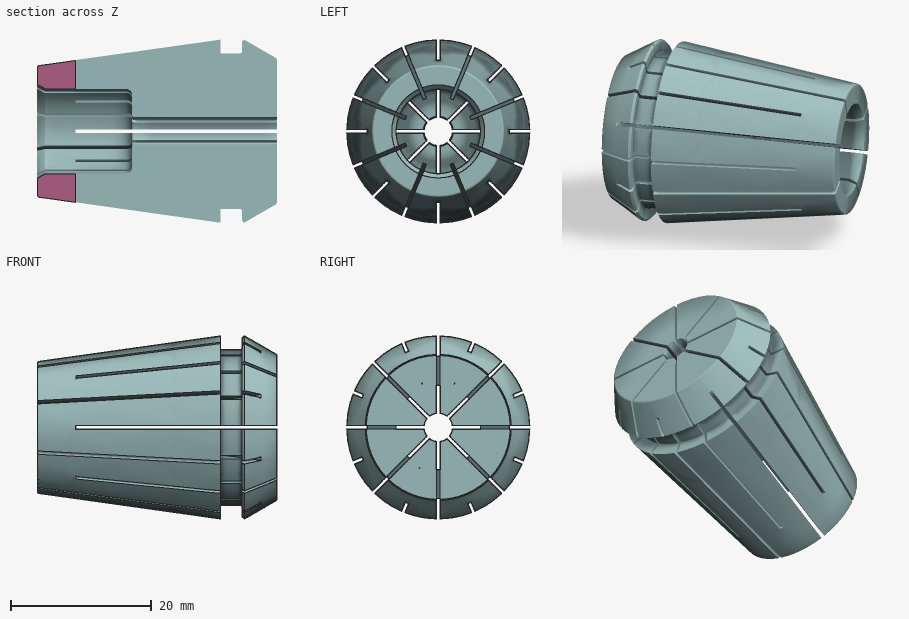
import math

import cadquery as cq

length = 34.0
max_radius = 13.0

body_length = 25.98
body_angle = 8.0
small_end_fillet = 0.27
small_end_radius = max_radius - body_length * math.tan(math.radians(body_angle))

groove_radius = 11.05
groove_end = 29.05
groove_body_fillet = 0.15
groove_nose_fillet = 0.27

nose_edge_width = 0.35
nose_edge_drop = 0.27
nose_edge_x = groove_end + nose_edge_width
nose_angle = 30.0
nose_slope = math.tan(math.radians(nose_angle))
front_edge_chamfer = 0.1
nose_end_radius = max_radius - (length - nose_edge_x) * nose_slope

mouth_radius = 6.6
mouth_depth = 1.12
bore_radius = 6.0
bore_bottom_fillet = 0.85
grip_radius = 2.0
grip_entry_chamfer = 0.15

slot_count = 8
slot_pitch = 360.0 / slot_count
slot_width = 0.5
slot_reach = 2 * max_radius
front_slot_start = 5.45
rear_slot_end = 31.75
rear_slot_floor_angle = 20.0
rear_slot_floor_inner_radius = 4.95
rear_slot_end_radius = max_radius - (rear_slot_end - nose_edge_x) * nose_slope

floor_slope = math.tan(math.radians(rear_slot_floor_angle))
bore_depth = rear_slot_end - (rear_slot_end_radius - rear_slot_floor_inner_radius) / floor_slope


def revolve_about_x(profile):
    return profile.close().revolve(360, (0, 0, 0), (1, 0, 0))


def make_body():
    """Clamping cone, groove and nose as one turned solid."""
    profile = (
        cq.Workplane("XY")
        .lineTo(0, small_end_radius)
        .lineTo(body_length, max_radius)
        .lineTo(body_length, groove_radius + groove_body_fillet)
        .radiusArc((body_length + groove_body_fillet, groove_radius), -groove_body_fillet)
        .lineTo(groove_end - groove_nose_fillet, groove_radius)
        .radiusArc((groove_end, groove_radius + groove_nose_fillet), -groove_nose_fillet)
        .lineTo(groove_end, max_radius - nose_edge_drop)
        .lineTo(nose_edge_x, max_radius)
        .lineTo(length, nose_end_radius)
        .lineTo(length, 0)
    )
    body = revolve_about_x(profile)
    body = body.faces("<X").edges().fillet(small_end_fillet)
    return body.faces(">X").edges().chamfer(front_edge_chamfer)


def make_bore():
    """Material removed from the inside, from the small end to the front face."""
    profile = (
        cq.Workplane("XY")
        .lineTo(0, mouth_radius)
        .lineTo(mouth_depth, bore_radius)
        .lineTo(bore_depth - bore_bottom_fillet, bore_radius)
        .radiusArc((bore_depth, bore_radius - bore_bottom_fillet), bore_bottom_fillet)
        .lineTo(bore_depth, grip_radius + grip_entry_chamfer)
        .lineTo(bore_depth + grip_entry_chamfer, grip_radius)
        .lineTo(length, grip_radius)
        .lineTo(length, 0)
    )
    return revolve_about_x(profile)


def make_slot(outline, angle):
    """Radial slot with the given side outline, turned about X from the +Y direction."""
    slot = outline.close().extrude(slot_width / 2, both=True)
    return slot.rotate((0, 0, 0), (1, 0, 0), angle)


def front_slot(angle):
    """Slot open at the front face, cut right through to the axis."""
    outline = (
        cq.Workplane("XY")
        .moveTo(front_slot_start, 0)
        .lineTo(front_slot_start, slot_reach)
        .lineTo(length, slot_reach)
        .lineTo(length, 0)
    )
    return make_slot(outline, angle)


def rear_slot(angle):
    """Slot open at the small end, with a sloping floor that runs out on the nose cone."""
    run_out_x = rear_slot_end + (slot_reach - rear_slot_end_radius) / floor_slope
    outline = (
        cq.Workplane("XY")
        .moveTo(0, rear_slot_floor_inner_radius)
        .lineTo(0, slot_reach)
        .lineTo(run_out_x, slot_reach)
        .lineTo(bore_depth, rear_slot_floor_inner_radius)
    )
    return make_slot(outline, angle)


result = make_body().cut(make_bore())
for index in range(slot_count):
    front_angle = index * slot_pitch
    result = result.cut(front_slot(front_angle))
    result = result.cut(rear_slot(front_angle + slot_pitch / 2))